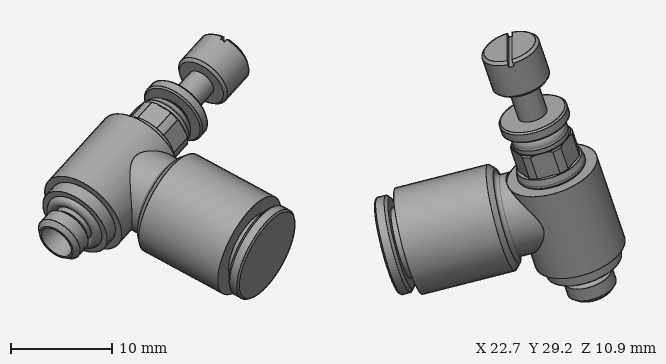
import cadquery as cq
import math


BODY_RADIUS = 4.65
BODY_BOTTOM = 4.6
BODY_TOP = 14.4
COLLAR_RADIUS = 3.88
COLLAR_BOTTOM = 3.2

THREAD_RADIUS = 2.5
THREAD_TOP = 1.9
THREAD_CHAMFER = 0.5
GROOVE_RADIUS = 2.1
BORE_RADIUS = 1.8
SEAL_MEAN_RADIUS = 2.65
SEAL_SECTION_RADIUS = 0.58

FLANGE_RADIUS = 3.5
FLANGE_RIM_RADIUS = 3.35
FLANGE_CHAMFER_TOP = 14.57
FLANGE_TAPER_BOTTOM = 14.83

HEX_BOTTOM = 15.5
HEX_TOP = 18.2
HEX_FLAT_WIDTH = 5.93
HEX_CORNER_RADIUS = 3.18
HEX_CHAMFER = 0.15

SHOULDER_RADIUS = 2.9
SHOULDER_TOP = 18.65
DOME_BASE_RADIUS = 2.8
DOME_BOTTOM = 18.85
DOME_MID_RADIUS = 2.63
DOME_MID_HEIGHT = 19.35
DOME_TOP_RADIUS = 2.2
DOME_TOP = 19.68
NECK_RADIUS = 1.95

RING_RADIUS = 3.5
RING_BOTTOM = 19.97
RING_TOP = 21.17
RING_CHAMFER = 0.18
STEM_RADIUS = 1.5
KNOB_RADIUS = 2.95
KNOB_BOTTOM = 24.95
KNOB_TOP = 29.2
KNOB_CHAMFER = 0.3
SLOT_WIDTH = 0.5
SLOT_DEPTH = 0.6

PORT_AXIS_Y = 10.6
ARM_RADIUS = 4.18
ARM_END = 5.3
FLARE_RADIUS = 0.45
SLEEVE_RADIUS = 5.43
SLEEVE_START = ARM_END + FLARE_RADIUS
SLEEVE_END = 15.83
SLEEVE_CHAMFER = 0.55
PORT_NECK_RADIUS = 3.6
RELEASE_RADIUS = 4.95
RELEASE_START = 16.65
RELEASE_END = 18.0
RELEASE_INNER_CHAMFER = 0.3
RELEASE_OUTER_CHAMFER = 0.18


def valve_cylinder(radius, bottom, top):
    """Cylinder on the valve axis between two heights."""
    return cq.Workplane("XZ", origin=(0, bottom, 0)).circle(radius).extrude(bottom - top)


def port_cylinder(radius, start, end):
    """Cylinder on the port axis between two X positions."""
    return cq.Workplane("YZ", origin=(start, PORT_AXIS_Y, 0)).circle(radius).extrude(end - start)


def revolve_on_valve_axis(outline):
    return outline.close().revolve(360, (0, 0, 0), (0, 1, 0))


def make_threaded_end():
    outline = cq.Workplane("XY").polyline([
        (0, 0),
        (THREAD_RADIUS - THREAD_CHAMFER, 0),
        (THREAD_RADIUS, THREAD_CHAMFER),
        (THREAD_RADIUS, THREAD_TOP),
        (GROOVE_RADIUS, THREAD_TOP + THREAD_RADIUS - GROOVE_RADIUS),
        (GROOVE_RADIUS, COLLAR_BOTTOM),
        (0, COLLAR_BOTTOM),
    ])
    seal = (
        cq.Workplane("XY")
        .center(SEAL_MEAN_RADIUS, COLLAR_BOTTOM)
        .circle(SEAL_SECTION_RADIUS)
        .revolve(360, (-SEAL_MEAN_RADIUS, 0, 0), (-SEAL_MEAN_RADIUS, 1, 0))
    )
    collar = valve_cylinder(COLLAR_RADIUS, COLLAR_BOTTOM, BODY_BOTTOM)
    bore = valve_cylinder(BORE_RADIUS, 0, BODY_BOTTOM)
    return revolve_on_valve_axis(outline).union(collar).union(seal).cut(bore)


def make_flange():
    outline = cq.Workplane("XY").polyline([
        (0, BODY_TOP),
        (FLANGE_RIM_RADIUS, BODY_TOP),
        (FLANGE_RADIUS, FLANGE_CHAMFER_TOP),
        (FLANGE_RADIUS, FLANGE_TAPER_BOTTOM),
        (FLANGE_RIM_RADIUS, HEX_BOTTOM),
        (0, HEX_BOTTOM),
    ])
    return revolve_on_valve_axis(outline)


def make_hexagon():
    """Hexagon with two flats facing up and down, its corners trimmed by a chamfered cylinder."""
    across_corners = HEX_FLAT_WIDTH / math.cos(math.pi / 6)
    prism = (
        cq.Workplane("XZ", origin=(0, HEX_BOTTOM, 0))
        .polygon(6, across_corners)
        .extrude(HEX_BOTTOM - HEX_TOP)
    )
    envelope = valve_cylinder(HEX_CORNER_RADIUS, HEX_BOTTOM, HEX_TOP).faces(">Y").chamfer(HEX_CHAMFER)
    return prism.intersect(envelope)


def make_shoulder():
    outline = (
        cq.Workplane("XY")
        .moveTo(0, HEX_TOP)
        .lineTo(SHOULDER_RADIUS, HEX_TOP)
        .lineTo(SHOULDER_RADIUS, SHOULDER_TOP)
        .lineTo(DOME_BASE_RADIUS, DOME_BOTTOM)
        .threePointArc((DOME_MID_RADIUS, DOME_MID_HEIGHT), (DOME_TOP_RADIUS, DOME_TOP))
        .lineTo(NECK_RADIUS, DOME_TOP)
        .lineTo(NECK_RADIUS, RING_BOTTOM)
        .lineTo(0, RING_BOTTOM)
    )
    return revolve_on_valve_axis(outline)


def make_adjuster():
    """Lock ring, stem and knob with a screwdriver slot across its end."""
    ring = valve_cylinder(RING_RADIUS, RING_BOTTOM, RING_TOP).edges().chamfer(RING_CHAMFER)
    stem = valve_cylinder(STEM_RADIUS, RING_TOP, KNOB_BOTTOM)
    knob = valve_cylinder(KNOB_RADIUS, KNOB_BOTTOM, KNOB_TOP).faces("<Y or >Y").chamfer(KNOB_CHAMFER)
    slot = cq.Workplane("XY").box(SLOT_WIDTH, 2 * SLOT_DEPTH, 2 * KNOB_RADIUS)
    return ring.union(stem).union(knob.cut(slot.translate((0, KNOB_TOP, 0))))


def make_arm():
    """Arm with a flared end, cleared around the valve axis above the body."""
    flare_mid = FLARE_RADIUS * math.sqrt(0.5)
    arm = (
        cq.Workplane("XY", origin=(0, PORT_AXIS_Y, 0))
        .lineTo(0, ARM_RADIUS)
        .lineTo(ARM_END, ARM_RADIUS)
        .threePointArc(
            (ARM_END + flare_mid, ARM_RADIUS + FLARE_RADIUS - flare_mid),
            (SLEEVE_START, ARM_RADIUS + FLARE_RADIUS),
        )
        .lineTo(SLEEVE_START, 0)
        .close()
        .revolve(360, (0, 0, 0), (1, 0, 0))
    )
    return arm.cut(valve_cylinder(BODY_RADIUS, BODY_TOP, HEX_BOTTOM))


def make_port():
    sleeve = port_cylinder(SLEEVE_RADIUS, SLEEVE_START, SLEEVE_END).faces("<X").chamfer(SLEEVE_CHAMFER)
    neck = port_cylinder(PORT_NECK_RADIUS, SLEEVE_END, RELEASE_START)
    release = (
        port_cylinder(RELEASE_RADIUS, RELEASE_START, RELEASE_END)
        .faces("<X").chamfer(RELEASE_INNER_CHAMFER)
        .faces(">X").chamfer(RELEASE_OUTER_CHAMFER)
    )
    return make_arm().union(sleeve).union(neck).union(release)


body = valve_cylinder(BODY_RADIUS, BODY_BOTTOM, BODY_TOP)
result = (
    body.union(make_port())
    .union(make_threaded_end())
    .union(make_flange())
    .union(make_hexagon())
    .union(make_shoulder())
    .union(make_adjuster())
)